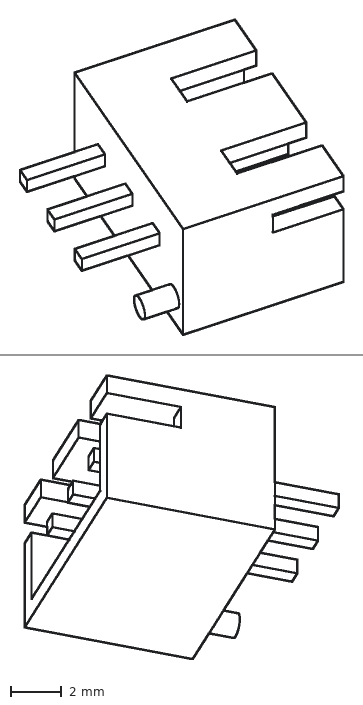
import cadquery as cq

housing_width = 9.9
housing_depth = 7.0
housing_height = 5.75
wall = 0.83
cavity_depth = 3.71

pin_count = 3
pin_pitch = 2.5
pin_size = 0.65
pin_height = 3.37
pin_tail = 3.4
pin_tip_recess = 0.2

peg_diameter = 1.0
peg_length = 1.5
peg_x = 4.1
peg_z = 1.37

top_slot_width = 1.45
top_slot_offset = 2.28
top_slot_depth = cavity_depth

side_slot_height = 0.97
side_slot_depth = 3.09


def box_between(x_range, y_range, z_range):
    """Axis-aligned box given by its (low, high) limits on each axis."""
    lows, highs = zip(x_range, y_range, z_range)
    sizes = [high - low for low, high in zip(lows, highs)]
    return cq.Workplane("XY").box(*sizes, centered=False).translate(lows)


def span(center, size):
    """Limits of a length centred on a position."""
    return (center - size / 2, center + size / 2)


def make_housing():
    ceiling = housing_height - wall
    full_width = span(0, housing_width)
    housing = box_between(full_width, (0, housing_depth), (0, housing_height))

    cavity_y = (housing_depth - cavity_depth, housing_depth)
    cavity_x = span(0, housing_width - 2 * wall)
    housing = housing.cut(box_between(cavity_x, cavity_y, (wall, ceiling)))

    top_slot_y = (housing_depth - top_slot_depth, housing_depth)
    for side in (-1, 1):
        slot_x = span(side * top_slot_offset, top_slot_width)
        housing = housing.cut(box_between(slot_x, top_slot_y, (ceiling, housing_height)))

    side_slot_y = (housing_depth - side_slot_depth, housing_depth)
    side_slot_z = (ceiling - side_slot_height, ceiling)
    return housing.cut(box_between(full_width, side_slot_y, side_slot_z))


def make_pin(x):
    pin_y = (-pin_tail, housing_depth - pin_tip_recess)
    return box_between(span(x, pin_size), pin_y, span(pin_height, pin_size))


def make_peg():
    return cq.Workplane("XZ").center(peg_x, peg_z).circle(peg_diameter / 2).extrude(peg_length)


result = make_housing().union(make_peg())
for index in range(pin_count):
    result = result.union(make_pin((index - (pin_count - 1) / 2) * pin_pitch))